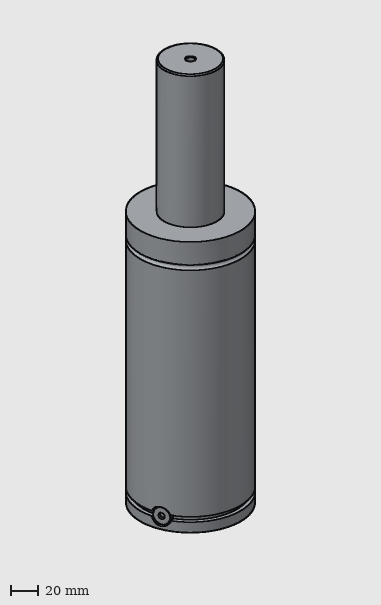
import cadquery as cq

total_height = 370.0
body_diameter = 95.0
body_height = 242.7
rod_diameter = 50.0
rod_chamfer = 1.0

base_groove_bottom = 9.0
base_groove_width = 4.5
base_groove_depth = 3.7

head_height = 19.2
head_groove_radius = 2.2
head_groove_inset = 0.5

rod_hole_diameter = 6.5
rod_hole_depth = 14.8
rod_hole_mouth_diameter = 8.0

plug_bore_diameter = 16.0
plug_bore_depth = 4.8
plug_diameter = 14.0
plug_recess = 1.0
plug_socket_diameter = 5.0
plug_socket_depth = 3.7
plug_height = 10.7

body_radius = body_diameter / 2


def make_cylinder_body():
    """Body with the square base groove and the round head groove."""
    body = cq.Workplane("XY").circle(body_radius).extrude(body_height)
    base_groove = (
        cq.Workplane("XY")
        .workplane(offset=base_groove_bottom)
        .circle(body_radius)
        .circle(body_radius - base_groove_depth)
        .extrude(base_groove_width)
    )
    head_groove_height = body_height - head_height - head_groove_radius
    groove_ring_radius = body_radius - head_groove_inset
    head_groove = (
        cq.Workplane("XZ")
        .center(groove_ring_radius, head_groove_height)
        .circle(head_groove_radius)
        .revolve(360, (-groove_ring_radius, 0), (-groove_ring_radius, 1))
    )
    return body.cut(base_groove).cut(head_groove)


def make_rod():
    """Piston rod with a chamfered end, starting inside the body."""
    rod = cq.Workplane("XY").circle(rod_diameter / 2).extrude(total_height)
    return rod.faces(">Z").chamfer(rod_chamfer)


def make_rod_hole():
    """Blind hole with a 90 degree countersink, removed from the rod end."""
    radius = rod_hole_diameter / 2
    mouth_radius = rod_hole_mouth_diameter / 2
    countersink_depth = mouth_radius - radius
    profile = [
        (0, total_height),
        (mouth_radius, total_height),
        (radius, total_height - countersink_depth),
        (radius, total_height - rod_hole_depth),
        (0, total_height - rod_hole_depth - radius),
    ]
    return cq.Workplane("XZ").polyline(profile).close().revolve(360, (0, 0), (0, 1))


def plug_plane(distance_below_surface):
    """Plane facing -Y at a given depth below the outermost line of the body."""
    origin = (0, distance_below_surface - body_radius, plug_height)
    return cq.Workplane("XZ", origin=origin)


def plug_cylinder(diameter, bottom_depth, top_depth=0):
    """Cylinder along Y between two depths below the body surface."""
    return plug_plane(bottom_depth).circle(diameter / 2).extrude(bottom_depth - top_depth)


def add_plug(part):
    """Recessed plug standing in a round bore, with a central socket."""
    bore = plug_cylinder(plug_bore_diameter, plug_bore_depth)
    plug = plug_cylinder(plug_diameter, plug_bore_depth, plug_recess)
    socket = plug_cylinder(plug_socket_diameter, plug_socket_depth)
    return part.cut(bore).union(plug).cut(socket)


result = add_plug(make_cylinder_body().union(make_rod()).cut(make_rod_hole()))